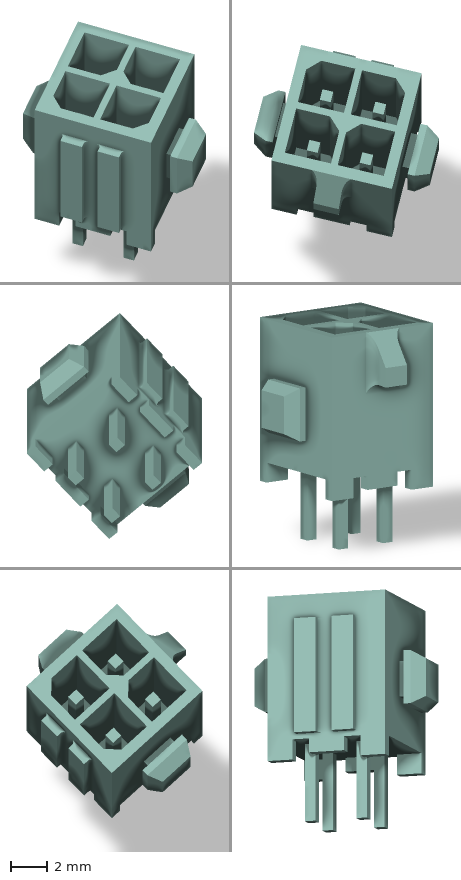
import cadquery as cq

overall_width = 10.0
overall_depth = 8.67
overall_height = 12.42

body_width = 6.85
body_depth = 6.87
underside_z = 4.32
leg_z = 3.19
leg_thickness = 0.63
middle_tab_z = 3.54
notch_width = 0.96

pitch = 3.0
pin_size = 0.62
pin_recess = 1.99
cavity_size = 2.62
cavity_chamfer = 0.7
floor_thickness = (body_width - pitch - cavity_size) / 2

stud_z = 7.82
neck_size = 2.0
neck_length = 0.41
head_size = 2.99
rim_length = 0.4
head_taper_inset = 0.43

rib_pitch = 2.19
rib_width = 1.27
rib_bottom_z = 4.62
rib_top_z = 11.03
rib_projection = 0.5
rib_inner_root_radius = 0.22
rib_outer_root_radius = 0.16

latch_width = 1.44
latch_projection = overall_depth - body_depth - rib_projection
latch_tip_top_z = 10.6
latch_tip_bottom_z = 9.49
latch_undercut = 0.04
latch_flare_rise = 0.6
latch_flare_spread = 0.41
latch_root_radius = 0.6

overlap = 0.12
front_y = -body_depth / 2
back_y = body_depth / 2


def block(width, depth, bottom_z, top_z, x=0.0, y=0.0):
    """Upright box centred on (x, y)."""
    return cq.Workplane("XY", origin=(x, y, bottom_z)).rect(width, depth).extrude(top_z - bottom_z)


def flare_radius(rise, spread):
    """Radius of an arc that starts along Y and spreads sideways over the given rise."""
    return (rise**2 + spread**2) / (2 * spread)


def flared_plan(width, projection, left_flare, right_flare):
    """Plan outline growing along +Y from Y = 0, widened at its root by concave arcs.

    Each flare is (rise along Y, spread along X); its arc is tangent to the straight side.
    """
    half = width / 2
    left_rise, left_spread = left_flare
    right_rise, right_spread = right_flare
    left_foot = -half - left_spread
    right_foot = half + right_spread
    return (
        cq.Workplane("XY")
        .moveTo(left_foot, -overlap)
        .lineTo(left_foot, 0)
        .radiusArc((-half, left_rise), -flare_radius(left_rise, left_spread))
        .lineTo(-half, projection)
        .lineTo(half, projection)
        .lineTo(half, right_rise)
        .radiusArc((right_foot, 0), -flare_radius(right_rise, right_spread))
        .lineTo(right_foot, -overlap)
        .close()
    )


def housing():
    """Box with front and back leg walls below its underside."""
    body = block(body_width, body_depth, leg_z, overall_height)
    body = body.cut(block(body_width, body_depth - 2 * leg_thickness, leg_z, underside_z))
    body = body.cut(block(pitch, body_depth, leg_z, middle_tab_z))
    for side in (-1, 1):
        body = body.cut(block(notch_width, body_depth, leg_z, underside_z, x=side * pitch / 2))
    return body


def cavity(column, row):
    """Square cavity with one corner cut off; column and row are -1 or 1."""
    x = column * pitch / 2
    y = row * pitch / 2
    half = cavity_size / 2
    corner_side = -column * row
    shorter = half - cavity_chamfer
    outline = [
        (-corner_side * half, -half),
        (corner_side * shorter, -half),
        (corner_side * half, -shorter),
        (corner_side * half, half),
        (-corner_side * half, half),
    ]
    floor_z = underside_z + floor_thickness
    plane = cq.Workplane("XY", origin=(x, y, floor_z))
    return plane.polyline(outline).close().extrude(overall_height - floor_z)


def pin(column, row):
    """Square contact pin through the cavity floor."""
    return block(pin_size, pin_size, 0, overall_height - pin_recess, column * pitch / 2, row * pitch / 2)


def stud():
    """Stud on the +X side: square neck, square rim and tapered head."""
    rim_x = body_width / 2 + neck_length
    taper_x = rim_x + rim_length
    neck = (
        cq.Workplane("YZ", origin=(body_width / 2 - overlap, 0, stud_z))
        .rect(neck_size, neck_size)
        .extrude(neck_length + overlap)
    )
    rim = cq.Workplane("YZ", origin=(rim_x, 0, stud_z)).rect(head_size, head_size).extrude(rim_length)
    tip_size = head_size - 2 * head_taper_inset
    head = (
        cq.Workplane("YZ", origin=(taper_x, 0, stud_z))
        .rect(head_size, head_size)
        .workplane(offset=overall_width / 2 - taper_x)
        .rect(tip_size, tip_size)
        .loft(ruled=True)
    )
    return neck.union(rim).union(head)


def rib(side):
    """Vertical front rib; side is -1 or 1."""
    inner_flare = (rib_inner_root_radius, rib_inner_root_radius)
    outer_flare = (rib_outer_root_radius, rib_outer_root_radius)
    plan = flared_plan(rib_width, rib_projection, outer_flare, inner_flare)
    solid = plan.extrude(rib_top_z - rib_bottom_z)
    solid = solid.rotate((0, 0, 0), (0, 0, 1), 180)
    solid = solid.translate((rib_pitch / 2, front_y, rib_bottom_z))
    return solid if side > 0 else solid.mirror("YZ")


def latch():
    """Back latch: the flared plan trimmed to a wedge with a rounded root below."""
    flare = (latch_flare_rise, latch_flare_spread)
    plan = flared_plan(latch_width, latch_projection, flare, flare).extrude(overall_height)
    root_top_z = latch_tip_bottom_z + latch_undercut
    root_bottom_z = root_top_z - latch_root_radius
    wedge = (
        cq.Workplane("YZ")
        .moveTo(-overlap, root_bottom_z)
        .lineTo(-overlap, overall_height)
        .lineTo(0, overall_height)
        .lineTo(latch_projection, latch_tip_top_z)
        .lineTo(latch_projection, latch_tip_bottom_z)
        .lineTo(latch_root_radius, root_top_z)
        .radiusArc((0, root_bottom_z), -latch_root_radius)
        .close()
        .extrude(latch_width / 2 + latch_flare_spread, both=True)
    )
    return plan.intersect(wedge).translate((0, back_y, 0))


result = housing().union(latch())
for side in (-1, 1):
    result = result.union(rib(side))
result = result.union(stud()).union(stud().mirror("YZ"))
for column in (-1, 1):
    for row in (-1, 1):
        result = result.cut(cavity(column, row)).union(pin(column, row))